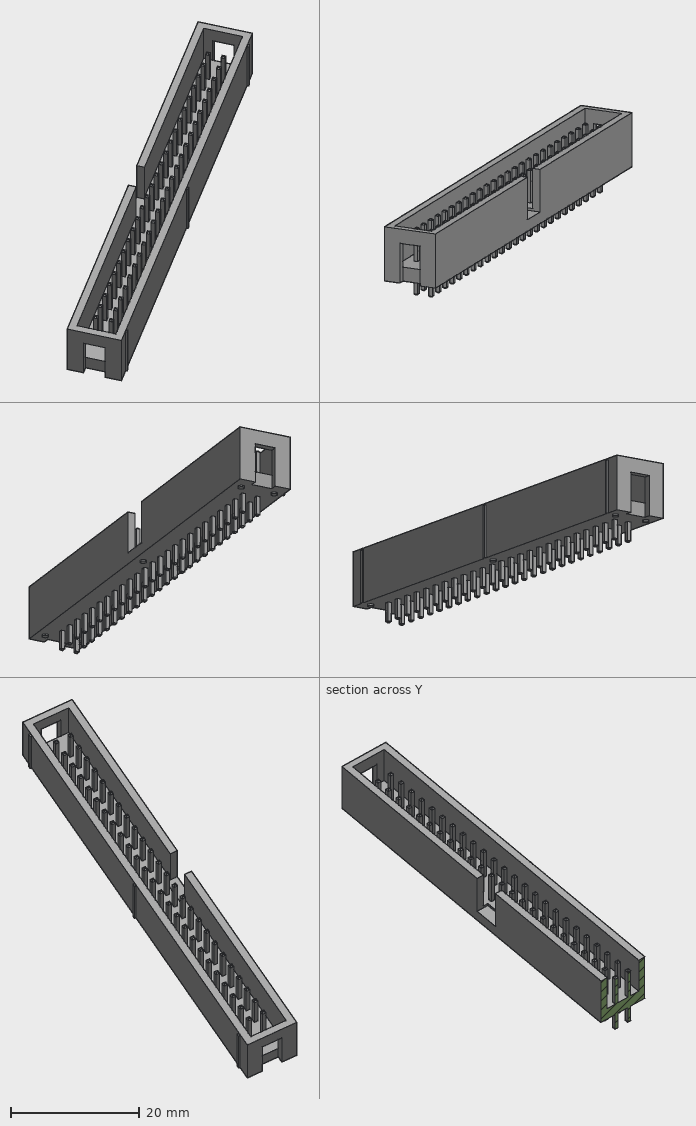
import cadquery as cq


pitch = 2.54
row_count = 2
pins_per_row = 25
pin_width = 0.64
pin_tip_length = 0.2
pin_tip_inset = 0.2
pin_bottom = -3.0
pin_top = 8.0

body_width = 8.85
body_length = 71.16
body_height = 8.85
side_wall = 1.27
end_wall = 1.15
floor_thickness = 2.3

end_slot_width = 3.5
end_slot_height = 6.5
key_width = 4.5
key_depth = 2.15
key_sill_height = 1.9

support_pitches = 13
standoff_diameter = 1.0
standoff_height = 0.25
standoff_offset_x = 2.9
rib_width = 0.5
rib_projection = 0.25
rib_top_gap = 0.3

body_bottom = standoff_height
body_top = body_bottom + body_height
support_offset_y = support_pitches * pitch
support_positions_y = (-support_offset_y, 0, support_offset_y)


def block(size_x, size_y, bottom, top, x=0.0, y=0.0):
    """Box centred on (x, y) that spans bottom to top in Z."""
    height = top - bottom
    return cq.Workplane("XY").box(size_x, size_y, height).translate((x, y, (bottom + top) / 2))


def make_shroud():
    """Open-topped box with a slot in each end wall and a key notch in the -X wall."""
    shroud = block(body_width, body_length, body_bottom, body_top)

    floor_top = body_bottom + floor_thickness
    cavity_width = body_width - 2 * side_wall
    cavity_length = body_length - 2 * end_wall
    shroud = shroud.cut(block(cavity_width, cavity_length, floor_top, body_top))

    slot_top = body_bottom + end_slot_height
    slot_y = (body_length - end_wall) / 2
    for side in (-1, 1):
        shroud = shroud.cut(block(end_slot_width, end_wall, body_bottom, slot_top, y=side * slot_y))

    key_sill = body_bottom + key_sill_height
    key_x = (key_depth - body_width) / 2
    return shroud.cut(block(key_depth, key_width, key_sill, body_top, x=key_x))


def make_standoffs():
    """Two rows of round feet, reaching from the board plane to the shroud."""
    centres = [(side * standoff_offset_x, y) for side in (-1, 1) for y in support_positions_y]
    return cq.Workplane("XY").pushPoints(centres).circle(standoff_diameter / 2).extrude(standoff_height)


def add_ribs(shroud):
    """Shallow vertical ribs on the +X side, stopping just below the rim."""
    rib_x = (body_width + rib_projection) / 2
    rib_top = body_top - rib_top_gap
    for y in support_positions_y:
        shroud = shroud.union(block(rib_projection, rib_width, body_bottom, rib_top, x=rib_x, y=y))
    return shroud


def make_pins():
    """All pins, square in section with tapered tips at both ends."""
    pin = block(pin_width, pin_width, pin_bottom, pin_top)
    pin = pin.faces("<Z or >Z").chamfer(pin_tip_length, pin_tip_inset)
    pins = cq.Workplane("XY").rarray(pitch, pitch, row_count, pins_per_row)
    return pins.eachpoint(lambda location: pin.val().moved(location))


body = add_ribs(make_shroud())
body = body.union(make_standoffs())
result = body.union(make_pins())